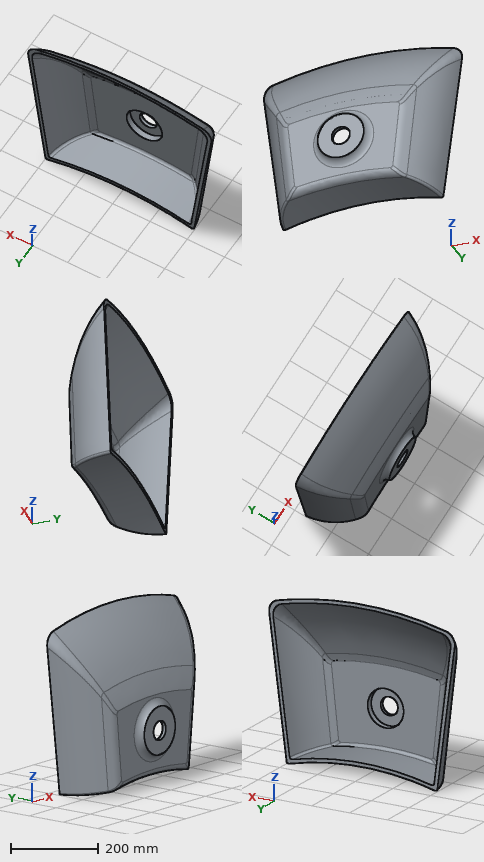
import cadquery as cq
import math

half_width = 245.0
face_depth = 119.5
wall = 10.0

top_centre_z = -629.5
top_rim_z = 284.5
top_drop = 202.5
top_bulge = 16.95

side_ref_z = 216.5
side_tilt_rim = 7.4
side_tilt_face = 5.9
side_inset = 81.5
side_bulge = 14.7

bottom_rim_z = -110.0
bottom_radius = 752.0

top_corner_rim = 30.5
top_corner_face = 7.5
bottom_corner = 6.0
bottom_front_round = 17.0
side_lip_width = 9.0
side_lip_depth = 4.5

collar_depth = 136.0
collar_base_radius = 74.5
collar_face_radius = 57.5
collar_curve = 4.0
hole_radius = 22.5

body_sections = 7
lip_sections = 7


def arc_travel(depth, travel, bulge):
    """Inward travel at a depth along a bulged arc running from the rim to the front face."""
    chord = math.hypot(face_depth, travel)
    radius = chord**2 / (8 * bulge) + bulge / 2
    to_centre = radius - bulge
    centre_depth = face_depth / 2 - to_centre * travel / chord
    centre_travel = travel / 2 + to_centre * face_depth / chord
    return centre_travel - math.sqrt(radius**2 - (depth - centre_depth)**2)


def circle_hit(x_at_zero, slope, centre_z, radius):
    """Upper crossing of the line x = x_at_zero + slope * z with a circle centred on X = 0."""
    a = 1 + slope**2
    b = x_at_zero * slope - centre_z
    c = x_at_zero**2 + centre_z**2 - radius**2
    z = (-b + math.sqrt(b**2 - a * c)) / a
    return x_at_zero + slope * z, z


def rounding(depth, face, width, round_depth):
    """Inset of a quarter-ellipse edge rounding that ends on the face."""
    reach = max(0, depth - (face - round_depth)) / round_depth
    return width * (1 - math.sqrt(max(0, 1 - reach**2)))


def section(depth, offset):
    """Rounded outline at a depth, shrunk inwards by offset."""
    face = face_depth - offset
    front_round = bottom_front_round - offset
    share = depth / face_depth
    tilt = math.radians(side_tilt_rim + (side_tilt_face - side_tilt_rim) * share)
    slope = math.tan(tilt)
    side_lip = rounding(depth, face, side_lip_width, side_lip_depth)
    half = half_width - arc_travel(depth, side_inset, side_bulge) - side_lip - offset / math.cos(tilt)
    x_at_zero = half - slope * side_ref_z

    top_z = top_rim_z - arc_travel(depth, top_drop, top_bulge) - offset
    bottom_z = bottom_rim_z + rounding(depth, face, front_round, front_round) + offset
    bottom_arc = bottom_radius + offset
    top_x, top_corner_z = circle_hit(x_at_zero, slope, top_centre_z, top_z - top_centre_z)
    bottom_x, bottom_corner_z = circle_hit(x_at_zero, slope, bottom_z - bottom_arc, bottom_arc)

    outline = (
        cq.Workplane("XZ", origin=(0, -depth, 0))
        .moveTo(-top_x, top_corner_z)
        .threePointArc((0, top_z), (top_x, top_corner_z))
        .lineTo(bottom_x, bottom_corner_z)
        .threePointArc((0, bottom_z), (-bottom_x, bottom_corner_z))
        .close()
        .wire()
        .val()
    )
    top_corner = top_corner_rim + (top_corner_face - top_corner_rim) * share
    top_vertices = [v for v in outline.Vertices() if v.Z > 0]
    outline = outline.fillet2D(top_corner, top_vertices)
    bottom_vertices = [v for v in outline.Vertices() if v.Z < bottom_corner_z + 0.05]
    return outline.fillet2D(bottom_corner, bottom_vertices)


def loft(depths, offset):
    return cq.Workplane(cq.Solid.makeLoft([section(d, offset) for d in depths]))


def dished_block(offset):
    """Solid from the rim to the rounded front face, shrunk inwards by offset."""
    front_round = bottom_front_round - offset
    lip_start = face_depth - offset - front_round
    walls = [lip_start * i / (body_sections - 1) for i in range(body_sections)]
    turns = [math.pi / 2 * i / (lip_sections - 1) for i in range(lip_sections)]
    lip = [lip_start + front_round * math.sin(turn) for turn in turns]
    return loft(walls, offset).union(loft(lip, offset))


def collar():
    """Flared boss on the front face, revolved about the hole axis."""
    run = collar_base_radius - collar_face_radius
    rise = collar_depth - face_depth
    flank = math.hypot(run, rise)
    middle = (
        collar_face_radius + run / 2 - collar_curve * rise / flank,
        -(face_depth + rise / 2 - collar_curve * run / flank),
    )
    return (
        cq.Workplane("XY")
        .moveTo(0, wall - face_depth)
        .lineTo(collar_base_radius, wall - face_depth)
        .lineTo(collar_base_radius, -face_depth)
        .threePointArc(middle, (collar_face_radius, -collar_depth))
        .lineTo(0, -collar_depth)
        .close()
        .revolve(360, (0, 0, 0), (0, 1, 0))
    )


shell = dished_block(0).cut(dished_block(wall))
hole = cq.Workplane("XZ").circle(hole_radius).extrude(collar_depth)
collar_hollow = cq.Workplane("XZ").circle(collar_face_radius - wall).extrude(collar_depth - wall)
result = shell.union(collar()).cut(hole).cut(collar_hollow)